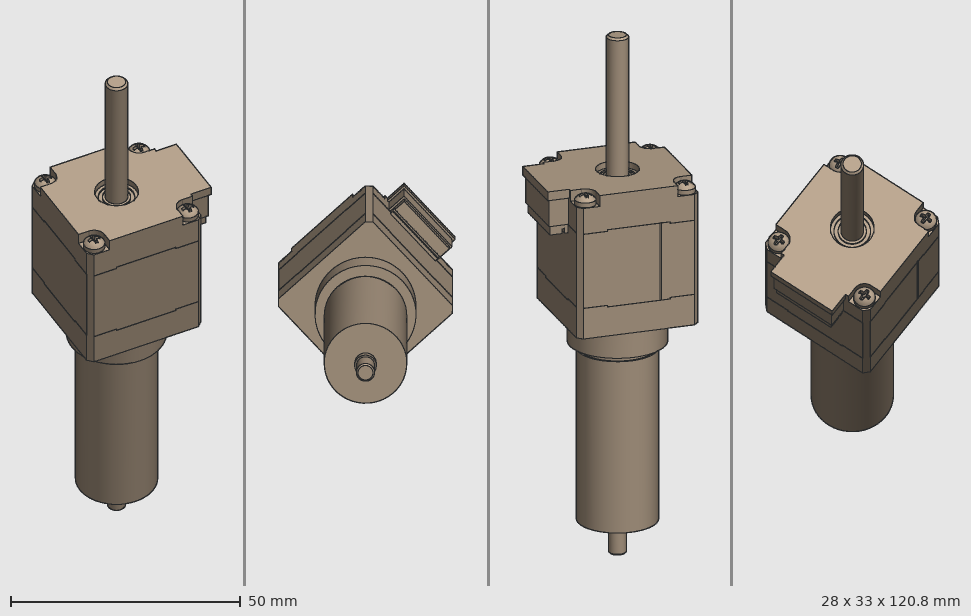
import cadquery as cq
import math


shaft_shoulder = 6.0
tube_bottom = 8.0
tube_top = 48.0
pilot_bottom = 49.5
body_bottom = 56.5
body_top = 89.5
rod_top = 120.8

shaft_diameter = 4.0
collar_diameter = 4.7
tube_diameter = 18.0
neck_diameter = 17.0
pilot_diameter = 22.0
rod_diameter = 5.0
shaft_chamfer = 0.4
rod_chamfer = 0.5

body_width = 28.0
half_body = body_width / 2
corner_chamfer = 1.2

stator_bottom = 63.7
stator_top = 80.9
panel_depth = 0.06
panel_width = body_width - 2 * corner_chamfer
panel_rise = 0.4
panel_rise_width = 14.5
seam_offset = 5.1
seam_width = 0.4
seam_depth = 0.18

overlap = 1.2

seat_diameter = 9.5
seat_depth = 1.5
race_gap_outer = 8.0
race_gap_inner = 6.2
race_gap_depth = 0.4

screw_offset = 11.5
pocket_diameter = 5.0
pocket_depth = 2.5
head_diameter = 4.7
head_rim_height = 1.1
head_height = 2.4
cross_length = 2.8
cross_width = 0.8
cross_taper = 10
cross_depth = 1.1

flange_reach = 19.0
flange_width = 16.4
flange_thickness = 2.0
housing_reach = 18.5
housing_width = 15.5
housing_height = 8.3
plug_reach = 18.1
plug_width = 14.5
plug_height = 2.2
slot_inner = 14.7
slot_outer = 15.3
slot_height = 1.1


def cylinder(diameter, bottom, top):
    return cq.Workplane("XY").workplane(offset=bottom).circle(diameter / 2).extrude(top - bottom)


def block(width, y_start, y_end, bottom, top):
    """Box centred on X = 0 between two Y positions and two heights."""
    size_y = y_end - y_start
    box = cq.Workplane("XY").box(width, size_y, top - bottom, centered=(True, False, False))
    return box.translate((0, y_start, bottom))


def make_body():
    body = block(body_width, -half_body, half_body, body_bottom, body_top)
    return body.edges("|Z").chamfer(corner_chamfer)


def make_stator_panel():
    """Thin cutter for the panel in the -Y side."""
    inner_face = panel_depth - half_body
    main = block(panel_width, -half_body, inner_face, stator_bottom, stator_top)
    middle_bottom = stator_bottom - panel_rise
    middle_top = stator_top + panel_rise
    middle = block(panel_rise_width, -half_body, inner_face, middle_bottom, middle_top)
    return main.union(middle)


def make_axis_parts():
    shaft = cylinder(shaft_diameter, 0, tube_bottom).faces("<Z").chamfer(shaft_chamfer)
    rod = cylinder(rod_diameter, body_top - seat_depth - overlap, rod_top).faces(">Z").chamfer(rod_chamfer)
    return (
        shaft.union(cylinder(collar_diameter, shaft_shoulder, tube_bottom))
        .union(cylinder(tube_diameter, tube_bottom, tube_top))
        .union(cylinder(neck_diameter, tube_top, pilot_bottom))
        .union(cylinder(pilot_diameter, pilot_bottom, body_bottom))
        .union(rod)
    )


def make_bearing_seat():
    """Cutter for the seat and for the ring gap between the bearing races."""
    seat_floor = body_top - seat_depth
    gap_floor = seat_floor - race_gap_depth
    gap = cylinder(race_gap_outer, gap_floor, seat_floor).cut(cylinder(race_gap_inner, gap_floor, seat_floor))
    return cylinder(seat_diameter, seat_floor, body_top).union(gap)


def make_screw_pocket():
    """Cutter for the pocket at the (+X, +Y) corner, rounded on its inner corner."""
    size = half_body - screw_offset + pocket_diameter / 2
    pocket = cq.Workplane("XY").box(size, size, pocket_depth)
    pocket = pocket.edges("|Z and <X and <Y").fillet(pocket_diameter / 2)
    centre = half_body - size / 2
    return pocket.translate((centre, centre, body_top - pocket_depth / 2))


def make_screw():
    """Domed screw head with a cross recess, standing on the pocket floor at the (+X, +Y) corner."""
    radius = head_diameter / 2
    dome_height = head_height - head_rim_height
    dome_radius = (radius**2 + dome_height**2) / (2 * dome_height)
    mid_radius = radius / 2
    mid_height = head_height - dome_radius + math.sqrt(dome_radius**2 - mid_radius**2)
    head = (
        cq.Workplane("XZ")
        .lineTo(radius, 0)
        .lineTo(radius, head_rim_height)
        .threePointArc((mid_radius, mid_height), (0, head_height))
        .close()
        .revolve(360, (0, 0), (0, 1))
    )
    recess = (
        cq.Workplane("XY")
        .workplane(offset=head_height)
        .rect(cross_length, cross_width)
        .extrude(-cross_depth, taper=cross_taper)
    )
    head = head.cut(recess).cut(turn(recess, 90))
    return head.translate((screw_offset, screw_offset, body_top - pocket_depth))


def make_connector():
    housing_bottom = body_top - housing_height
    plug_bottom = housing_bottom - plug_height
    flange = block(flange_width, half_body - overlap, flange_reach, body_top - flange_thickness, body_top)
    housing = block(housing_width, half_body - overlap, housing_reach, housing_bottom, body_top)
    plug = block(plug_width, half_body, plug_reach, plug_bottom, housing_bottom)
    slot = block(plug_width, slot_inner, slot_outer, plug_bottom, plug_bottom + slot_height)
    return flange.union(housing).union(plug.cut(slot))


def make_seam():
    """Cutter for the upright seam in the -X side."""
    seam_height = stator_top - stator_bottom + 2 * panel_rise
    seam = cq.Workplane("XY").box(2 * seam_depth, seam_width, seam_height)
    return seam.translate((-half_body, -seam_offset, (stator_top + stator_bottom) / 2))


def turn(shape, angle):
    return shape.rotate((0, 0, 0), (0, 0, 1), angle)


motor = make_body()
for angle in (0, 90, 180, 270):
    motor = motor.cut(turn(make_stator_panel(), angle))
    motor = motor.cut(turn(make_screw_pocket(), angle))
    motor = motor.union(turn(make_screw(), angle))

motor = motor.cut(make_seam())
motor = motor.union(make_connector())
motor = motor.cut(make_bearing_seat())
result = motor.union(make_axis_parts())